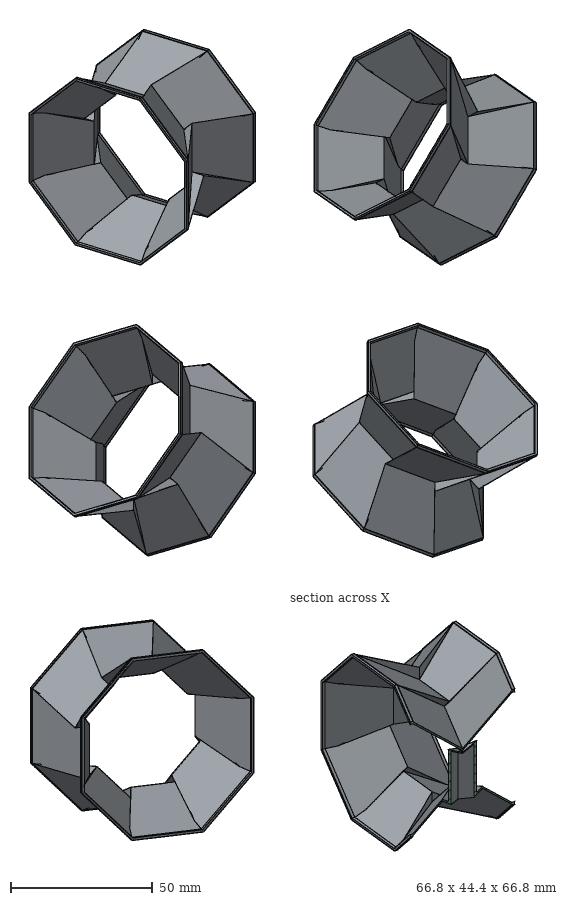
import cadquery as cq
import math

SIDES = 8
CORNER_STEP = 360 / SIDES
TAN_HALF_STEP = math.tan(math.radians(CORNER_STEP / 2))
TUBE_AXIS = cq.Vector(0, 1, 0)

OVERALL_LENGTH = 44.4
RIM_LENGTH = 1.2
WALL_LENGTH = OVERALL_LENGTH / 2 - RIM_LENGTH

RIM_WIDTH = 66.78
RIM_OVERHANG = 0.2
RIM_APOTHEM = RIM_WIDTH / 2
WALL_END_APOTHEM = RIM_APOTHEM - RIM_OVERHANG
WALL_WAIST_APOTHEM = 21.1
WALL_FOLD_DEPTH = 4.96

PANEL_RUN = WALL_END_APOTHEM - WALL_WAIST_APOTHEM
FOLD_RUN = PANEL_RUN * TAN_HALF_STEP + WALL_FOLD_DEPTH

WALL_THICKNESS = 0.6
PANEL_INSET = WALL_THICKNESS * math.hypot(1, PANEL_RUN / WALL_LENGTH)
FOLD_INSET = WALL_THICKNESS * math.hypot(1, FOLD_RUN / WALL_LENGTH)
BORE_APOTHEM = WALL_END_APOTHEM - PANEL_INSET
CAVITY_WAIST_APOTHEM = WALL_WAIST_APOTHEM - PANEL_INSET
CAVITY_FOLD_DEPTH = WALL_FOLD_DEPTH - FOLD_INSET - PANEL_INSET * TAN_HALF_STEP
CAVITY_FOLD_LENGTH = WALL_LENGTH * CAVITY_FOLD_DEPTH / WALL_FOLD_DEPTH


def turned(point, steps):
    """Point turned about the tube axis by a number of corner steps."""
    angle = math.radians(CORNER_STEP * steps)
    x = point.x * math.cos(angle) + point.z * math.sin(angle)
    z = point.z * math.cos(angle) - point.x * math.sin(angle)
    return cq.Vector(x, point.y, z)


def corner(apothem, y):
    """Octagon corner at the +X end of the +Z side."""
    return cq.Vector(apothem * TAN_HALF_STEP, y, apothem)


def polygon_face(points):
    return cq.Face.makeFromWires(cq.Wire.makePolygon(points, close=True))


def folded_half(waist_apothem, end_apothem, fold_depth, fold_length):
    """Solid inside one folded surface, from the waist to the +Y rim."""
    taper = (end_apothem - waist_apothem) / WALL_LENGTH
    end_corner = corner(end_apothem, WALL_LENGTH)
    fold_tip = corner(waist_apothem + taper * fold_length, fold_length)
    fold_root = corner(waist_apothem, 0) - cq.Vector(fold_depth, 0, 0)
    fold_peak = fold_root + cq.Vector(0, 0, fold_depth)

    panel = [turned(end_corner, -1), turned(fold_peak, -1), fold_root, end_corner]
    if fold_length < WALL_LENGTH:
        panel = [panel[0], turned(fold_tip, -1), panel[1], fold_root, fold_tip, end_corner]
    fold = [fold_root, fold_peak, fold_tip]

    faces = []
    waist_outline = []
    end_outline = []
    for step in range(SIDES):
        faces.append(polygon_face([turned(point, step) for point in panel]))
        faces.append(polygon_face([turned(point, step) for point in fold]))
        waist_outline += [turned(fold_root, step), turned(fold_peak, step)]
        end_outline.append(turned(end_corner, step))
    faces.append(polygon_face(waist_outline))
    faces.append(polygon_face(end_outline))
    return cq.Workplane(cq.Solid.makeSolid(cq.Shell.makeShell(faces)))


def rim_prism(apothem):
    """Octagonal prism as long as the +Y rim."""
    outline = [turned(corner(apothem, WALL_LENGTH), step) for step in range(SIDES)]
    return cq.Workplane(cq.Solid.extrudeLinear(polygon_face(outline), TUBE_AXIS * RIM_LENGTH))


def half_tube():
    """Hollow half of the tube on the +Y side of the waist."""
    wall = folded_half(WALL_WAIST_APOTHEM, WALL_END_APOTHEM, WALL_FOLD_DEPTH, WALL_LENGTH)
    cavity = folded_half(CAVITY_WAIST_APOTHEM, BORE_APOTHEM, CAVITY_FOLD_DEPTH, CAVITY_FOLD_LENGTH)
    return wall.union(rim_prism(RIM_APOTHEM)).cut(cavity).cut(rim_prism(BORE_APOTHEM))


back_half = half_tube()
result = back_half.union(back_half.mirror("XZ"))